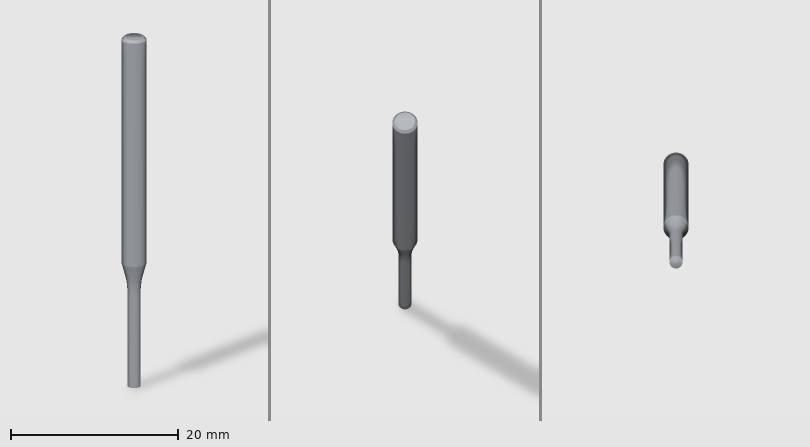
import cadquery as cq
import math

total_length = 45.0
shank_radius = 3.0 / 2
shank_chamfer = 0.3

cutter_radius = 1.58 / 2
cutter_length = 12.35
point_angle = 145.0
corner_radius = 0.05
point_height = cutter_radius / math.tan(math.radians(point_angle / 2))

blend_radius = 8.0
taper_half_angle = math.radians(15)
blend_top_radius = cutter_radius + blend_radius * (1 - math.cos(taper_half_angle))
blend_top_z = cutter_length + blend_radius * math.sin(taper_half_angle)
blend_mid_radius = cutter_radius + blend_radius * (1 - math.cos(taper_half_angle / 2))
blend_mid_z = cutter_length + blend_radius * math.sin(taper_half_angle / 2)
taper_top_z = blend_top_z + (shank_radius - blend_top_radius) / math.tan(taper_half_angle)


def revolve_about_z(half_profile):
    """Turn a closed half profile, drawn in the XZ plane, about the Z axis."""
    return half_profile.revolve(360, (0, 0, 0), (0, 1, 0))


def make_shank():
    """Chamfered cylindrical shank with its tapered and blended lower end."""
    half_profile = (
        cq.Workplane("XZ")
        .moveTo(0, cutter_length)
        .lineTo(cutter_radius, cutter_length)
        .threePointArc((blend_mid_radius, blend_mid_z), (blend_top_radius, blend_top_z))
        .lineTo(shank_radius, taper_top_z)
        .lineTo(shank_radius, total_length - shank_chamfer)
        .lineTo(shank_radius - shank_chamfer, total_length)
        .lineTo(0, total_length)
        .close()
    )
    return revolve_about_z(half_profile)


def make_cutter():
    """Cylindrical cutting part with a rounded corner, ending in the conical point at the origin."""
    corner_edge = cq.selectors.NearestToPointSelector((0, 0, point_height))
    half_profile = (
        cq.Workplane("XZ")
        .moveTo(0, 0)
        .lineTo(cutter_radius, point_height)
        .lineTo(cutter_radius, cutter_length)
        .lineTo(0, cutter_length)
        .close()
    )
    return revolve_about_z(half_profile).edges(corner_edge).fillet(corner_radius)


shank = make_shank()
cutter = make_cutter()

result = cq.Compound.makeCompound([shank.val(), cutter.val()])